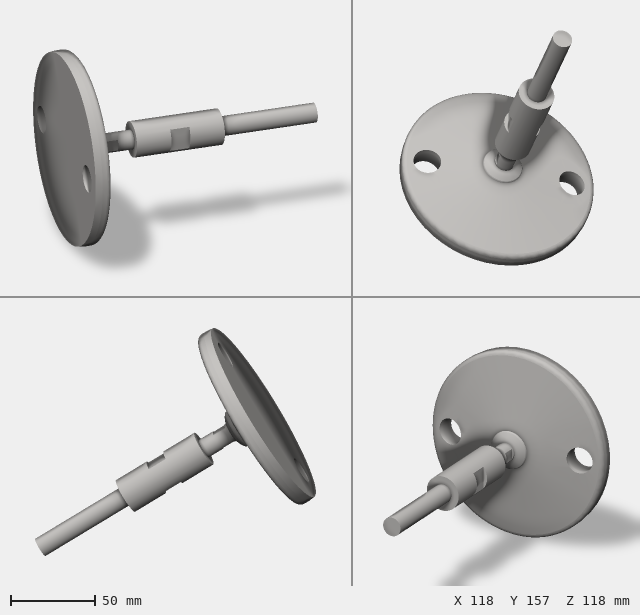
import cadquery as cq
import math


base_diameter = 118.0
base_radius = base_diameter / 2
bottom_radius = 58.5
taper_height = 4.2
cone_angle = 9.5
cone_top_radius = 11.0
base_height = 17.6
shoulder_fillet = 2.8
rim_height = base_height - (base_radius - cone_top_radius) * math.tan(math.radians(cone_angle))

hole_diameter = 16.5
hole_offset = 42.5
hole_cut_length = 62.8

overall_length = 157.0
rod_diameter = 12.0
rod_radius = rod_diameter / 2
collar_radius = 12.1
collar_edge_y = 18.7
collar_shoulder_radius = 11.6
collar_shoulder_y = 19.8
collar_top_y = 22.6
collar_lip_radius = 12.0
collar_lip_y = 19.3
collar_dome_radius = 9.4
collar_dome_y = 21.4

sleeve_diameter = 22.0
sleeve_start = 41.9
sleeve_length = 55.1
sleeve_flat_width = 17.0
sleeve_flat_length = 12.0
sleeve_flat_start = sleeve_start + (sleeve_length - sleeve_flat_length) / 2
rod_flat_width = 9.7
rod_flat_start = 23.9
rod_flat_length = 8.0


def cylinder_along_y(diameter, start, length):
    """Solid cylinder centred on the Y axis."""
    plane = cq.Plane(origin=(0, start, 0), xDir=(1, 0, 0), normal=(0, 1, 0))
    return cq.Workplane(plane).circle(diameter / 2).extrude(length)


def revolve_about_y(profile):
    """Revolve a closed XY profile a full turn about the Y axis."""
    return profile.close().revolve(360, (0, 0, 0), (0, 1, 0))


def mounting_hole(side):
    """Cutter through the base, leaning outwards on the given X side."""
    tilt = math.radians(cone_angle)
    axis = cq.Vector(side * math.sin(tilt), math.cos(tilt), 0)
    centre = cq.Vector(side * hole_offset, 0, 0)
    start = centre - axis * (hole_cut_length / 2)
    return cq.Solid.makeCylinder(hole_diameter / 2, hole_cut_length, start, axis)


def make_base():
    """Conical disc with a tapered lower rim, rounded shoulder and two holes."""
    profile = (
        cq.Workplane("XY")
        .lineTo(bottom_radius, 0)
        .lineTo(base_radius, taper_height)
        .lineTo(base_radius, rim_height)
        .lineTo(cone_top_radius, base_height)
        .lineTo(0, base_height)
    )
    base = revolve_about_y(profile)
    shoulder_index = 2
    base = base.edges("%CIRCLE").edges(cq.selectors.CenterNthSelector(cq.Vector(0, 1, 0), shoulder_index))
    base = base.fillet(shoulder_fillet)
    for side in (-1, 1):
        base = base.cut(mounting_hole(side))
    return base


def cut_flats(body, diameter, width, start, length):
    """Cut a pair of wrench flats facing -X and +X."""
    depth = (diameter - width) / 2
    for side in (-1, 1):
        cutter = cq.Workplane("XY").box(depth, length, diameter)
        body = body.cut(cutter.translate((side * (width + depth) / 2, start + length / 2, 0)))
    return body


def make_collar():
    """Domed collar with a rounded lip, seated on top of the base."""
    profile = (
        cq.Workplane("XY")
        .moveTo(0, base_height)
        .lineTo(cone_top_radius, base_height)
        .lineTo(collar_radius, collar_edge_y)
        .threePointArc((collar_lip_radius, collar_lip_y), (collar_shoulder_radius, collar_shoulder_y))
        .threePointArc((collar_dome_radius, collar_dome_y), (rod_radius, collar_top_y))
        .lineTo(0, collar_top_y)
    )
    return revolve_about_y(profile)


def make_stem():
    """Rod, collar and sleeve in one piece, with wrench flats on rod and sleeve."""
    rod = cylinder_along_y(rod_diameter, base_height, overall_length - base_height)
    rod = cut_flats(rod, rod_diameter, rod_flat_width, rod_flat_start, rod_flat_length)
    sleeve = cylinder_along_y(sleeve_diameter, sleeve_start, sleeve_length)
    sleeve = cut_flats(
        sleeve, sleeve_diameter, sleeve_flat_width, sleeve_flat_start, sleeve_flat_length
    )
    return rod.union(make_collar()).union(sleeve)


base = make_base()
stem = make_stem()
result = cq.Compound.makeCompound([base.val(), stem.val()])